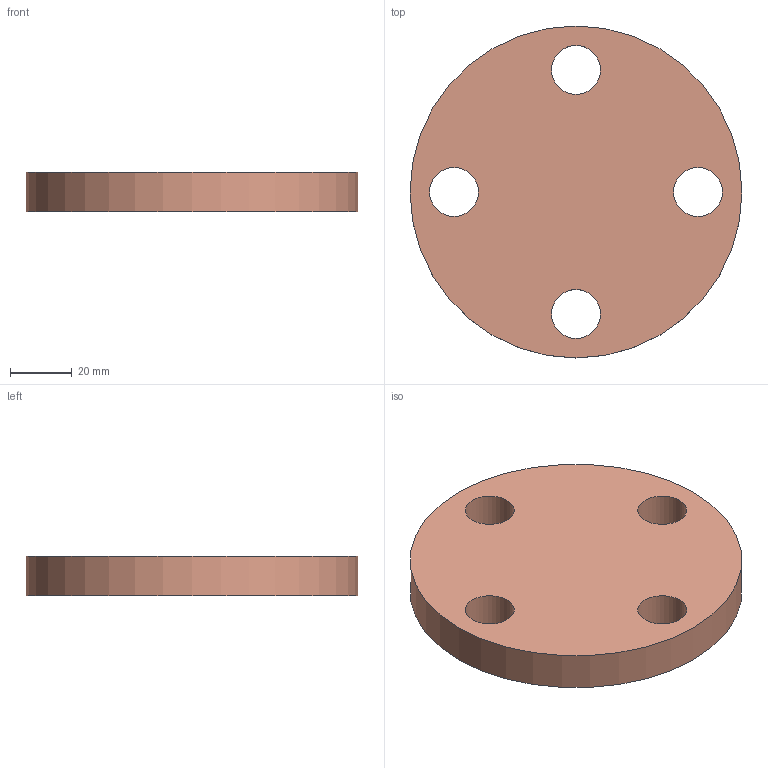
import cadquery as cq

INCH = 25.4

flange_diameter = 4.25 * INCH
flange_thickness = 0.5 * INCH
bolt_circle_diameter = 3.125 * INCH
bolt_hole_diameter = 0.625 * INCH
bolt_hole_count = 4


def flange_disc():
    """Solid disc standing on the XY plane, centred on the Z axis."""
    return cq.Workplane("XY").circle(flange_diameter / 2).extrude(flange_thickness)


def drill_bolt_holes(body):
    """Cut through holes evenly around the bolt circle, the first one on +X."""
    return (
        body.faces(">Z")
        .workplane()
        .polarArray(bolt_circle_diameter / 2, 0, 360, bolt_hole_count)
        .hole(bolt_hole_diameter)
    )


result = drill_bolt_holes(flange_disc())